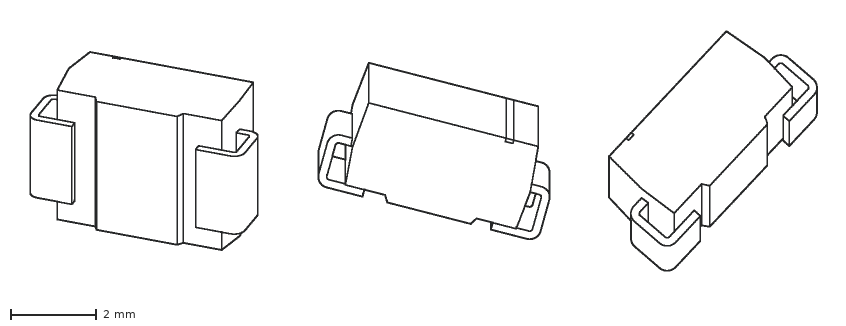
import cadquery as cq
import math

span_x = 5.4
mould_length = 4.32
mould_height = 3.62
draft_angle = 5.0
back_depth = 1.12

lead_thickness = 0.2
lead_width = 2.075
lead_depth = 1.325
lead_outer_radius = 0.27
lead_inner_radius = lead_outer_radius - lead_thickness
foot_length = 1.14

pad_bottom_length = 2.225
pad_top_length = 2.03
pad_height = 0.17
front_depth = lead_depth - lead_thickness
shelf_depth = front_depth - pad_height

band_center_x = -1.37
band_width = 0.185
band_depth = 0.08


def drafted_half(depth):
    """Half of the mould, tapering away from the parting plane (toward -Y if depth > 0)."""
    return (
        cq.Workplane("XZ")
        .rect(mould_length, mould_height)
        .extrude(depth, taper=draft_angle)
    )


def make_end_step(side):
    """Cutter that lowers the front face between the pad and one end."""
    end_x = side * mould_length / 2
    return (
        cq.Workplane("XY")
        .moveTo(end_x, -shelf_depth)
        .lineTo(side * pad_bottom_length / 2, -shelf_depth)
        .lineTo(side * pad_top_length / 2, -front_depth)
        .lineTo(end_x, -front_depth)
        .close()
        .extrude(mould_height / 2, both=True)
    )


def make_mould():
    """Full moulded block, before the band recess is cut."""
    mould = drafted_half(front_depth).union(drafted_half(-back_depth))
    for side in (-1, 1):
        mould = mould.cut(make_end_step(side))
    return mould


def make_band(mould):
    """Band along the full height of the back face, following its drafted ends."""
    blank = (
        cq.Workplane("XY")
        .center(band_center_x, back_depth - band_depth / 2)
        .rect(band_width, band_depth)
        .extrude(mould_height / 2, both=True)
    )
    return blank.intersect(mould)


def make_lead(side):
    """C-shaped strip whose root meets the drafted end of the mould."""
    outer_x = span_x / 2
    inner_x = outer_x - lead_thickness
    foot_end_x = outer_x - foot_length
    draft_slope = math.tan(math.radians(draft_angle))
    root_outer_x = mould_length / 2
    root_inner_x = root_outer_x - lead_thickness * draft_slope
    bend_x = outer_x - lead_outer_radius
    near_bend_y = -lead_outer_radius
    far_bend_y = -lead_depth + lead_outer_radius
    outer_mid = lead_outer_radius * math.sqrt(0.5)
    inner_mid = lead_inner_radius * math.sqrt(0.5)

    lead = (
        cq.Workplane("XY")
        .moveTo(root_outer_x, 0)
        .lineTo(bend_x, 0)
        .threePointArc((bend_x + outer_mid, near_bend_y + outer_mid), (outer_x, near_bend_y))
        .lineTo(outer_x, far_bend_y)
        .threePointArc((bend_x + outer_mid, far_bend_y - outer_mid), (bend_x, -lead_depth))
        .lineTo(foot_end_x, -lead_depth)
        .lineTo(foot_end_x, -front_depth)
        .lineTo(bend_x, -front_depth)
        .threePointArc((bend_x + inner_mid, far_bend_y - inner_mid), (inner_x, far_bend_y))
        .lineTo(inner_x, near_bend_y)
        .threePointArc((bend_x + inner_mid, near_bend_y + inner_mid), (bend_x, -lead_thickness))
        .lineTo(root_inner_x, -lead_thickness)
        .close()
        .extrude(lead_width / 2, both=True)
    )
    if side < 0:
        lead = lead.mirror("YZ")
    return lead


full_mould = make_mould()
band = make_band(full_mould)
housing = full_mould.cut(band)
leads = [make_lead(side) for side in (-1, 1)]

bodies = [housing, band, *leads]
result = cq.Compound.makeCompound([body.solids().val() for body in bodies])